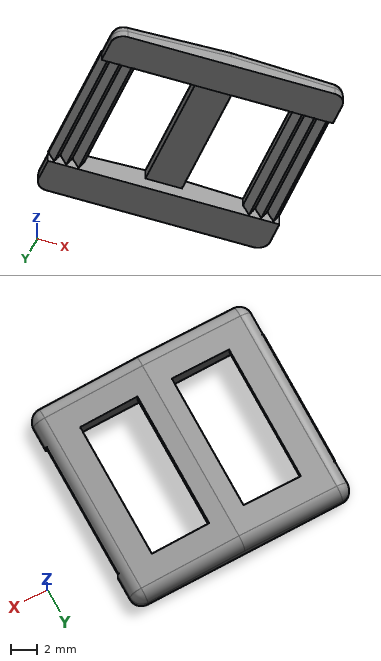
import cadquery as cq
import math

length = 19.0
width = 17.5
ridge_height = 2.0
end_height = 1.6
edge_radius = 1.0
window_inner_x = 1.5
window_outer_x = 6.5
opening_width = 11.51
channel_height = 1.0
teeth_per_side = 3

half_length = length / 2
window_length = window_outer_x - window_inner_x
window_center_x = (window_outer_x + window_inner_x) / 2
tooth_side = (half_length - window_outer_x) / teeth_per_side
tooth_height = tooth_side * math.sqrt(3) / 2


def make_roofed_block():
    """Block with a shallow gabled top and rounded corners and top rim."""
    block = (
        cq.Workplane("XZ")
        .moveTo(-half_length, 0)
        .lineTo(half_length, 0)
        .lineTo(half_length, end_height)
        .lineTo(0, ridge_height)
        .lineTo(-half_length, end_height)
        .close()
        .extrude(width / 2, both=True)
    )
    block = block.edges("|Z").fillet(edge_radius)
    top_edges = block.edges(cq.selectors.BoxSelector(
        (-length, -width, ridge_height / 2), (length, width, 2 * ridge_height)
    ))
    ridge_center = cq.Vector(0, 0, ridge_height)
    rim = [edge for edge in top_edges.vals() if (edge.Center() - ridge_center).Length > edge_radius]
    return block.newObject(rim).fillet(edge_radius)


def make_frame():
    """Frame with two windows and a channel running through under the bars."""
    windows = (
        cq.Workplane("XY")
        .pushPoints([(-window_center_x, 0), (window_center_x, 0)])
        .rect(window_length, opening_width)
        .extrude(ridge_height)
    )
    channel = cq.Workplane("XY").rect(length, opening_width).extrude(channel_height)
    return make_roofed_block().cut(windows).cut(channel)


def make_tooth(start_x):
    """Equilateral ridge along Y, hanging point down from the channel roof."""
    return (
        cq.Workplane("XZ")
        .moveTo(start_x, channel_height)
        .lineTo(start_x + tooth_side, channel_height)
        .lineTo(start_x + tooth_side / 2, channel_height - tooth_height)
        .close()
        .extrude(opening_width / 2, both=True)
    )


frame = make_frame()

teeth = []
for bar_start_x in (-half_length, window_outer_x):
    for index in range(teeth_per_side):
        teeth.append(make_tooth(bar_start_x + index * tooth_side))

result = cq.Compound.makeCompound([frame.val(), *[tooth.val() for tooth in teeth]])